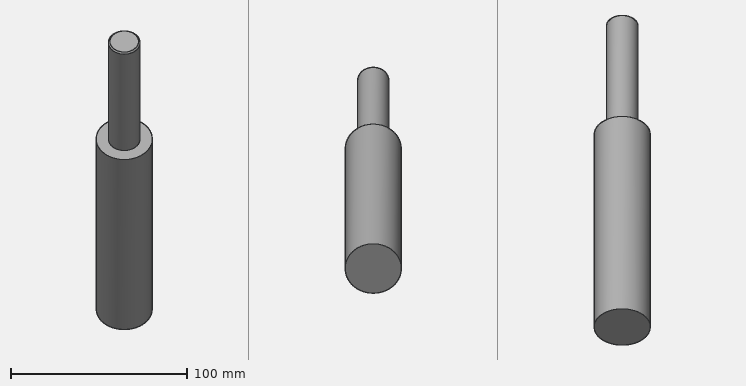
import cadquery as cq

total_height = 225.0
body_diameter = 32.0
body_height = 143.0
shank_diameter = 18.0
shank_chamfer = 1.0

shank_height = total_height - body_height

body = cq.Workplane("XY").circle(body_diameter / 2).extrude(body_height)

shank = (
    cq.Workplane("XY", origin=(0, 0, body_height))
    .circle(shank_diameter / 2)
    .extrude(shank_height)
    .faces(">Z")
    .chamfer(shank_chamfer)
)

result = body.union(shank)